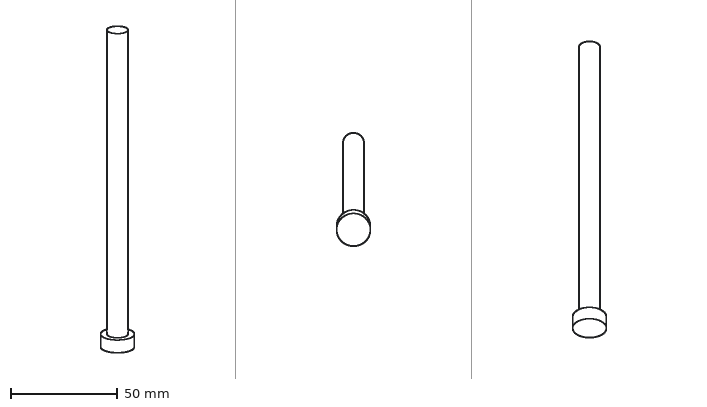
import cadquery as cq

total_length = 160.0
head_diameter = 16.0
head_height = 6.5
shank_diameter = 10.0


def make_head():
    """Round head resting on the XY plane."""
    return cq.Workplane("XY").circle(head_diameter / 2).extrude(head_height)


def make_shank():
    """Round shank running through the head to the full length of the pin."""
    return cq.Workplane("XY").circle(shank_diameter / 2).extrude(total_length)


result = make_head().union(make_shank())